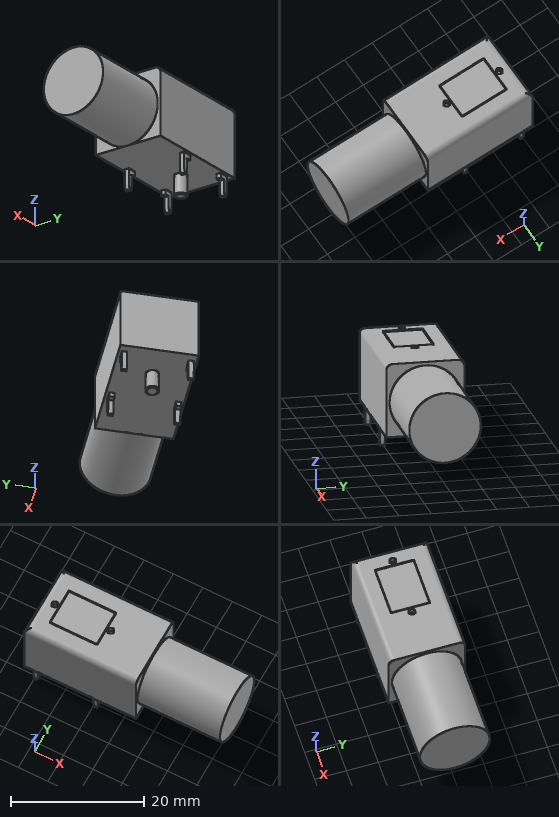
import cadquery as cq


overall_length = 33.0
block_length = 19.0
block_width = 12.0
block_height = 11.52
top_edge_radius = 1.0
barrel_diameter = 11.0

recess_length = 8.0
recess_width = 6.07
recess_depth = 0.2
recess_center_x = 6.8
socket_diameter = 1.0
socket_spacing = 9.5
socket_depth = 1.0

pin_length = 3.4

peg_diameter = 2.0
peg_center_x = 5.5
peg_chamfer = 0.15

pin_thickness = 0.8
leg_width = 0.8
foot_length = 2 * leg_width
foot_height = 0.82
tip_width = 0.43
tip_height = 0.75
pin_pitch_y = 10.23
pin_outer_left = 1.32
pin_outer_right = 12.28


def make_block():
    """Box whose top edges are rounded on three sides; the barrel end stays square."""
    block = cq.Workplane("XY").box(
        block_length, block_width, block_height, centered=(False, True, False)
    )
    return block.edges(">Z and (<X or <Y or >Y)").fillet(top_edge_radius)


def make_barrel():
    """Cylinder along X, flush with the underside of the block."""
    return (
        cq.Workplane("YZ", origin=(block_length, 0, barrel_diameter / 2))
        .circle(barrel_diameter / 2)
        .extrude(overall_length - block_length)
    )


def make_peg():
    """Round peg below the block with a chamfered end."""
    return (
        cq.Workplane("XY", origin=(peg_center_x, 0, 0))
        .circle(peg_diameter / 2)
        .extrude(-pin_length)
        .faces("<Z")
        .chamfer(peg_chamfer)
    )


def cut_label_recess(body):
    """Shallow rectangular pocket in the top face."""
    pocket = (
        cq.Workplane("XY", origin=(recess_center_x, 0, block_height))
        .rect(recess_length, recess_width)
        .extrude(-recess_depth)
    )
    return body.cut(pocket)


def cut_sockets(body):
    """Two blind round holes, one on each side of the recess."""
    sockets = (
        cq.Workplane("XY", origin=(recess_center_x, 0, block_height))
        .rarray(socket_spacing, 0.33, 2, 1)
        .circle(socket_diameter / 2)
        .extrude(-socket_depth)
    )
    return body.cut(sockets)


def make_housing():
    body = make_block().union(make_barrel()).union(make_peg())
    return cut_sockets(cut_label_recess(body))


def make_solder_pin(outer_x, inward, center_y):
    """L-shaped pin with a tapered tip; inward is the X direction (+1 or -1) of its foot."""
    tip_inset = (leg_width - tip_width) / 2
    outline = [
        (0, 0),
        (foot_length, 0),
        (foot_length, -foot_height),
        (leg_width, -foot_height),
        (leg_width, tip_height - pin_length),
        (leg_width - tip_inset, -pin_length),
        (tip_inset, -pin_length),
        (0, tip_height - pin_length),
    ]
    return (
        cq.Workplane("XZ", origin=(outer_x, center_y, 0))
        .polyline([(inward * across, height) for across, height in outline])
        .close()
        .extrude(pin_thickness / 2, both=True)
    )


housing = make_housing()

solder_pins = []
for outer_x, inward in ((pin_outer_left, 1), (pin_outer_right, -1)):
    for side in (-1, 1):
        pin = make_solder_pin(outer_x, inward, side * pin_pitch_y / 2)
        solder_pins.append(pin.val())

result = cq.Compound.makeCompound([housing.val(), *solder_pins])